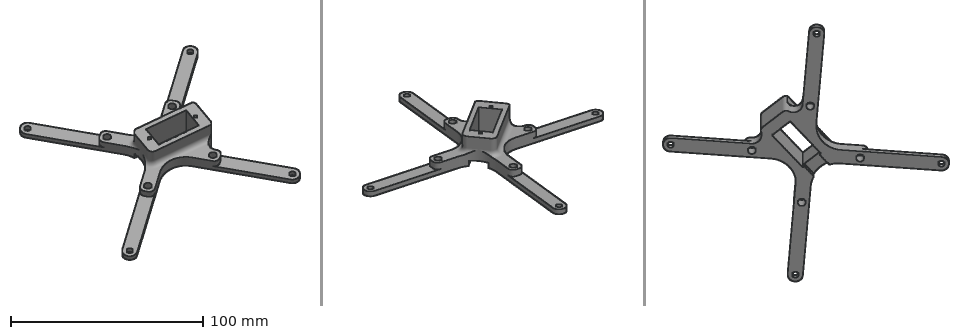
import cadquery as cq
import math

arm_thickness = 3.0
hub_height = 7.0
overall_height = 17.2

arm_width = 8.0
half_width = arm_width / 2
tip_offset = 54 - half_width
pad_offset = 20.0
tip_hole_diameter = 3.3
pad_hole_diameter = 4.1
pad_end_reach = 4.0
pad_corner_radius = 3.0

tower_half_width = 9.2
tower_back = 26.8
tower_front = -11.5
front_corner_radius = 3.0
back_corner_radius = 3.0
back_corner_x = 6.8
tower_foot_radius = 3.0

waist_radius = 13.9
front_notch_radius = 13.9
back_notch_radius = 5.0

pocket_width = 12.4
pocket_back = 20.0
pocket_front = -4.8
cable_slot_width = 10.5
cable_slot_height = 3.0
screw_hole_diameter = 1.8
screw_hole_depth = 10.0
screw_hole_margin = 1.8

diagonal = math.sqrt(0.5)
edge_intercept = half_width / diagonal


def arm_edge_point(center_x, center_y, radius, toward_x, toward_y):
    """Point at the given radius from a centre, in a diagonal direction."""
    return (center_x + toward_x * radius * diagonal, center_y + toward_y * radius * diagonal)


def hub_half():
    """Right half of the hub outline, from the front notch round to the tower back."""
    front_y = tower_front - front_notch_radius
    front_x = -front_y - edge_intercept - front_notch_radius / diagonal
    waist_x = edge_intercept + waist_radius / diagonal
    back_y = tower_back
    back_x = back_y - edge_intercept - back_notch_radius / diagonal

    corner_y = tower_back - back_corner_radius
    gap_x = back_x - back_corner_x
    gap_y = back_y - corner_y
    gap = math.hypot(gap_x, gap_y)
    along = (back_corner_radius**2 - back_notch_radius**2 + gap**2) / (2 * gap)
    across = math.sqrt(back_corner_radius**2 - along**2)
    cusp = (
        back_corner_x + (along * gap_x - across * gap_y) / gap,
        corner_y + (along * gap_y + across * gap_x) / gap,
    )
    cusp_angle = math.atan2(cusp[1] - corner_y, cusp[0] - back_corner_x)
    corner_angle = (cusp_angle + math.pi / 2) / 2
    corner_middle = (
        back_corner_x + back_corner_radius * math.cos(corner_angle),
        corner_y + back_corner_radius * math.sin(corner_angle),
    )

    return (
        cq.Workplane("XY")
        .moveTo(0, tower_front)
        .lineTo(front_x, tower_front)
        .threePointArc(
            (
                front_x + front_notch_radius * math.sin(math.pi / 8),
                front_y + front_notch_radius * math.cos(math.pi / 8),
            ),
            arm_edge_point(front_x, front_y, front_notch_radius, 1, 1),
        )
        .lineTo(*arm_edge_point(pad_offset, -pad_offset, half_width, -1, -1))
        .lineTo(*arm_edge_point(pad_offset, -pad_offset, half_width, 1, 1))
        .lineTo(*arm_edge_point(waist_x, 0, waist_radius, -1, -1))
        .threePointArc(
            (waist_x - waist_radius, 0),
            arm_edge_point(waist_x, 0, waist_radius, -1, 1),
        )
        .lineTo(*arm_edge_point(pad_offset, pad_offset, half_width, 1, -1))
        .lineTo(*arm_edge_point(pad_offset, pad_offset, half_width, -1, 1))
        .lineTo(*arm_edge_point(back_x, back_y, back_notch_radius, 1, -1))
        .threePointArc((back_x, back_y - back_notch_radius), cusp)
        .threePointArc(corner_middle, (back_corner_x, tower_back))
        .lineTo(0, tower_back)
        .close()
    )


def hub_prism(height):
    half = hub_half().extrude(height)
    return half.union(half.mirror("YZ"))


def arm(angle):
    """Slim arm with a full-round tip, and its raised pad with rounded corners."""
    length = tip_offset / diagonal
    bar = cq.Workplane("XY").rect(length, arm_width).extrude(arm_thickness).translate((length / 2, 0, 0))
    bar = bar.union(cq.Workplane("XY").center(length, 0).circle(half_width).extrude(arm_thickness))
    pad_end = pad_offset / diagonal + pad_end_reach
    pad_start = pad_offset / diagonal - half_width
    pad = (
        cq.Workplane("XY")
        .rect(pad_end - pad_start, arm_width)
        .extrude(hub_height)
        .translate(((pad_start + pad_end) / 2, 0, 0))
        .edges("|Z and >X")
        .fillet(pad_corner_radius)
    )
    return bar.union(pad).rotate((0, 0, 0), (0, 0, 1), angle)


def tower():
    """Tower with a concave foot, trimmed to the hub outline."""
    length = tower_back - tower_front
    middle_y = (tower_back + tower_front) / 2
    overrun = 10.8
    column = (
        cq.Workplane("XY")
        .center(0, middle_y + overrun / 2)
        .rect(2 * tower_half_width, length + overrun)
        .extrude(overall_height)
        .edges("|Z and <Y")
        .fillet(front_corner_radius)
    )
    floor_size = 129.6
    margin = 0.1
    footed = (
        cq.Workplane("XY")
        .rect(floor_size, floor_size)
        .extrude(hub_height)
        .union(column)
        .faces(cq.selectors.BoxSelector(
            (-floor_size, -floor_size, hub_height - margin),
            (floor_size, floor_size, hub_height + margin),
        ))
        .edges("not(<X or >X or <Y or >Y)")
        .fillet(tower_foot_radius)
    )
    return footed.intersect(hub_prism(overall_height))


result = tower()
for arm_angle in (45, 135, 225, 315):
    result = result.union(arm(arm_angle))

for offset, diameter in ((tip_offset, tip_hole_diameter), (pad_offset, pad_hole_diameter)):
    holes = (
        cq.Workplane("XY")
        .rect(2 * offset, 2 * offset, forConstruction=True)
        .vertices()
        .circle(diameter / 2)
        .extrude(overall_height)
    )
    result = result.cut(holes)

pocket_length = pocket_back - pocket_front
pocket = (
    cq.Workplane("XY")
    .center(0, (pocket_back + pocket_front) / 2)
    .rect(pocket_width, pocket_length)
    .extrude(overall_height)
)
result = result.cut(pocket)

slot_length = pocket_front - 2 * tower_front
cable_slot = (
    cq.Workplane("XY")
    .center(0, pocket_front - slot_length / 2)
    .rect(cable_slot_width, slot_length)
    .extrude(cable_slot_height)
)
result = result.cut(cable_slot)

screw_holes = (
    cq.Workplane("XY")
    .workplane(offset=overall_height - screw_hole_depth)
    .pushPoints([(0, pocket_back + screw_hole_margin), (0, pocket_front - screw_hole_margin)])
    .circle(screw_hole_diameter / 2)
    .extrude(screw_hole_depth)
)
result = result.cut(screw_holes)